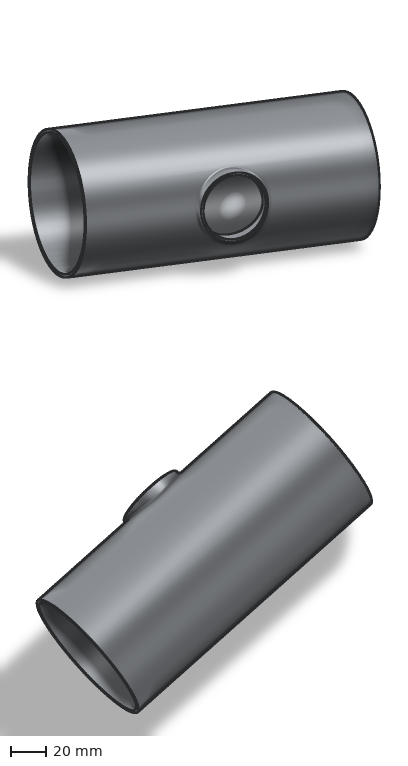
import cadquery as cq

pipe_diameter = 85.0
pipe_bore = 81.0
pipe_length = 180.0

outlet_diameter = 41.0
outlet_bore = 38.0
outlet_reach = 45.0
weld_radius = 2.0


def pipe_cylinder(diameter):
    return cq.Workplane("XZ").circle(diameter / 2).extrude(pipe_length / 2, both=True)


def outlet_cylinder(diameter):
    return cq.Workplane("YZ").circle(diameter / 2).extrude(outlet_reach)


def outer_body():
    """Solid pipe and outlet, blended along their meeting curve."""
    pipe = pipe_cylinder(pipe_diameter)
    body = pipe.union(outlet_cylinder(outlet_diameter))
    outlet_radius = outlet_diameter / 2
    around_joint = cq.selectors.BoxSelector(
        (0, -outlet_radius, -outlet_radius),
        ((pipe_diameter / 2 + outlet_reach) / 2, outlet_radius, outlet_radius),
    )
    return body.edges(around_joint).fillet(weld_radius)


result = outer_body().cut(pipe_cylinder(pipe_bore)).cut(outlet_cylinder(outlet_bore))